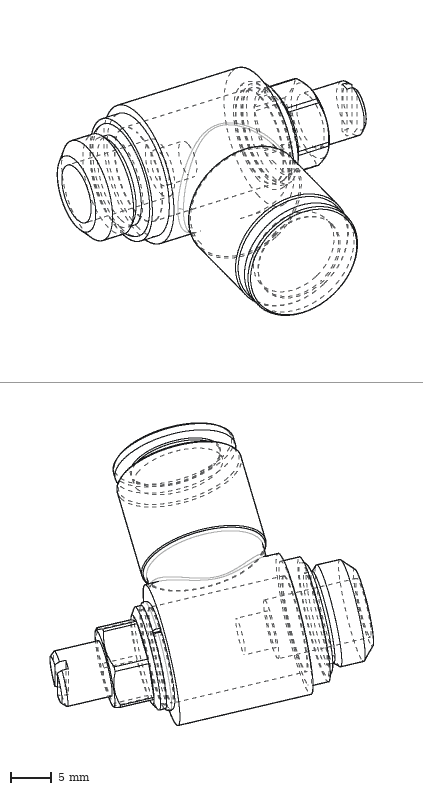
import cadquery as cq
import math


barrel_radius = 9.0
barrel_top = 8.55
barrel_bottom = -8.57
bore_radius = 6.12

neck_radius = 7.5
socket_radius = 8.02
socket_start = 11.75
socket_lead_chamfer = 0.15
neck_end_fillet = 0.3
socket_end = 24.02
socket_end_chamfer = 0.25
socket_face_rise = 0.2
release_neck_radius = 5.73
release_flange_radius = 7.8
release_flange_start = 25.65
release_flange_end = 26.8
release_flange_chamfer = 0.25
release_root_length = 0.25
release_root_height = 0.08
arm_blend_radius = 0.5

screw_radius = 3.55
screw_top = 22.1
screw_chamfer_height = 0.6
screw_chamfer_depth = 0.55
slot_width = 1.22
slot_depth = 1.42

hex_across_flats = 10.0
hex_corner_radius = 5.6
hex_top = 15.8
hex_chamfer_height = 0.5
hex_chamfer_depth = 0.7

flange_radius = 6.6
flange_top = 11.0
flange_bottom = 9.6
flange_chamfer_height = 0.6
flange_chamfer_depth = 0.9

ring_mean_radius = 6.45
ring_wire_radius = (flange_bottom - barrel_top) / 2
ring_gap = 0.5

collar_radius = 8.0
collar_clearance = 0.08
collar_top = barrel_bottom - collar_clearance
collar_bottom = -11.05
relief_radius = 5.85
seal_mean_radius = 6.55
seal_wire_radius = 0.75
seal_height = -11.0

thread_radius = 6.5
relief_end = -12.2
thread_start = -12.92
thread_end = -15.92
overall_length = 39.5
stem_end = screw_top - overall_length
tip_radius = 4.95
inlet_radius = 3.75
inlet_depth = 11.85
seat_radius = 2.35
seat_depth = 3.95


def cylinder_along_y(radius, y_low, y_high):
    """Cylinder on the stem axis between two heights."""
    return cq.Workplane("XZ", origin=(0, y_low, 0)).circle(radius).extrude(y_low - y_high)


def turned_along_y(outline):
    """Solid of revolution about Y from (radius, y) points."""
    return cq.Workplane("XY").polyline(outline).close().revolve(360, (0, 0, 0), (0, 1, 0))


def wire_ring(mean_radius, wire_radius, height):
    """Ring of round wire about the stem axis."""
    section = cq.Workplane("XY").center(mean_radius, height).circle(wire_radius)
    return section.revolve(360, (-mean_radius, 0, 0), (-mean_radius, 1, 0))


def make_arm():
    """Neck, hose socket and release collar, turned about X."""
    fillet_end = socket_start - socket_lead_chamfer
    fillet_start = fillet_end - neck_end_fillet
    fillet_middle = neck_end_fillet * math.sqrt(0.5)
    return (
        cq.Workplane("XY")
        .moveTo(0, 0)
        .lineTo(0, neck_radius)
        .lineTo(fillet_start, neck_radius)
        .threePointArc(
            (fillet_start + fillet_middle, neck_radius + neck_end_fillet - fillet_middle),
            (fillet_end, neck_radius + neck_end_fillet),
        )
        .lineTo(fillet_end, socket_radius - socket_lead_chamfer)
        .lineTo(socket_start, socket_radius)
        .lineTo(socket_end - socket_end_chamfer, socket_radius)
        .lineTo(socket_end, socket_radius - socket_end_chamfer)
        .lineTo(socket_end + socket_face_rise, release_neck_radius)
        .lineTo(release_flange_start - release_root_length, release_neck_radius)
        .lineTo(release_flange_start, release_neck_radius + release_root_height)
        .lineTo(release_flange_start, release_flange_radius)
        .lineTo(release_flange_end - release_flange_chamfer, release_flange_radius)
        .lineTo(release_flange_end, release_flange_radius - release_flange_chamfer)
        .lineTo(release_flange_end, 0)
        .close()
        .revolve(360, (0, 0, 0), (1, 0, 0))
    )


def make_elbow():
    """Barrel and hose arm, with the bore that holds the stem."""
    barrel = cylinder_along_y(barrel_radius, barrel_bottom, barrel_top)
    joint_zone = cq.selectors.BoxSelector(
        (0, barrel_bottom / 2, -barrel_radius),
        (barrel_radius, barrel_top / 2, barrel_radius),
    )
    elbow = barrel.union(make_arm()).edges(joint_zone).fillet(arm_blend_radius)
    return elbow.cut(cylinder_along_y(bore_radius, barrel_bottom, barrel_top))


def make_screw():
    """Chamfered adjusting screw with a driver slot."""
    screw = turned_along_y([
        (0, hex_top),
        (screw_radius, hex_top),
        (screw_radius, screw_top - screw_chamfer_height),
        (screw_radius - screw_chamfer_depth, screw_top),
        (0, screw_top),
    ])
    slot = cq.Workplane("XY").box(slot_width, 2 * slot_depth, 2 * screw_radius)
    return screw.cut(slot.translate((0, screw_top, 0)))


def make_hexagon():
    """Hexagon with two flats facing Z, its corners turned down and its top chamfered."""
    across_corners = hex_across_flats / math.cos(math.pi / 6)
    prism = (
        cq.Workplane("XZ", origin=(0, flange_top, 0))
        .polygon(6, across_corners)
        .extrude(flange_top - hex_top)
    )
    turned_blank = turned_along_y([
        (0, flange_top),
        (hex_corner_radius, flange_top),
        (hex_corner_radius, hex_top - hex_chamfer_height),
        (hex_corner_radius - hex_chamfer_depth, hex_top),
        (0, hex_top),
    ])
    return prism.intersect(turned_blank)


def make_shaft():
    """Turned part of the stem from the flange down to the threaded end."""
    return turned_along_y([
        (0, flange_top),
        (flange_radius - flange_chamfer_depth, flange_top),
        (flange_radius, flange_top - flange_chamfer_height),
        (flange_radius, flange_bottom),
        (bore_radius, flange_bottom),
        (bore_radius, collar_top),
        (collar_radius, collar_top),
        (collar_radius, collar_bottom),
        (relief_radius, collar_bottom),
        (relief_radius, relief_end),
        (thread_radius, thread_start),
        (thread_radius, thread_end),
        (tip_radius, stem_end),
        (0, stem_end),
    ])


def make_retaining_ring():
    """Retaining ring around the shaft, split on the +Z side."""
    ring = wire_ring(ring_mean_radius, ring_wire_radius, (flange_bottom + barrel_top) / 2)
    gap = cq.Workplane("XY").box(ring_gap, 4 * ring_wire_radius, 4 * ring_wire_radius)
    return ring.cut(gap.translate((0, flange_bottom, ring_mean_radius)))


def make_stem():
    """Screw, hexagon, shaft and both rings as one body, with the inlet bored from below."""
    seal_ring = wire_ring(seal_mean_radius, seal_wire_radius, seal_height)
    stem = make_shaft().union(make_hexagon()).union(make_screw())
    stem = stem.union(make_retaining_ring()).union(seal_ring)
    inlet_end = stem_end + inlet_depth
    stem = stem.cut(cylinder_along_y(inlet_radius, stem_end, inlet_end))
    return stem.cut(cylinder_along_y(seat_radius, inlet_end, inlet_end + seat_depth))


elbow = make_elbow()
stem = make_stem()
result = cq.Compound.makeCompound([elbow.solids().val(), stem.solids().val()])